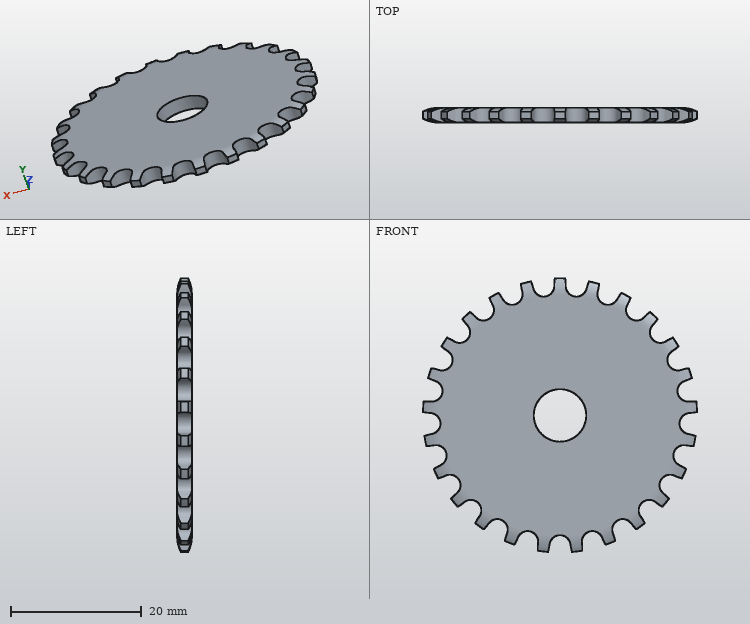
import math

import cadquery as cq

TOOTH_COUNT = 25
CHAIN_PITCH = 5.0
ROLLER_DIAMETER = 3.2
THICKNESS = 2.3
TIP_RADIUS = 21.0
BORE_DIAMETER = 8.0
BEVEL_START_RADIUS = 18.6
BEVEL_ARC_RADIUS = 5.0
FLANK_RADIUS = 8.0

TOOTH_STEP = 360.0 / TOOTH_COUNT
PITCH_RADIUS = CHAIN_PITCH / 2 / math.sin(math.pi / TOOTH_COUNT)
FLANK_START_TILT = math.pi / TOOTH_COUNT
SEAT_RADIUS = ROLLER_DIAMETER / 2
HALF_THICKNESS = THICKNESS / 2
CUT_CLEARANCE = 0.5


def bevel_half_thickness(radius):
    """Half thickness of the rounded tooth side at a distance from the axis."""
    run = radius - BEVEL_START_RADIUS
    return HALF_THICKNESS - BEVEL_ARC_RADIUS + math.sqrt(BEVEL_ARC_RADIUS**2 - run**2)


def make_blank():
    """Disc turned about Y, with both faces rounding down towards the rim."""
    middle_radius = (BEVEL_START_RADIUS + TIP_RADIUS) / 2
    middle_half = bevel_half_thickness(middle_radius)
    tip_half = bevel_half_thickness(TIP_RADIUS)
    return (
        cq.Workplane("YZ")
        .moveTo(-HALF_THICKNESS, 0)
        .lineTo(-HALF_THICKNESS, BEVEL_START_RADIUS)
        .threePointArc((-middle_half, middle_radius), (-tip_half, TIP_RADIUS))
        .lineTo(tip_half, TIP_RADIUS)
        .threePointArc((middle_half, middle_radius), (HALF_THICKNESS, BEVEL_START_RADIUS))
        .lineTo(HALF_THICKNESS, 0)
        .close()
        .revolve(360, (0, 0, 0), (1, 0, 0))
    )


def flank_point(height):
    """Point at a given height on the +X flank, an arc tangent to the seat where it starts."""
    centre_distance = SEAT_RADIUS + FLANK_RADIUS
    centre_x = centre_distance * math.cos(FLANK_START_TILT)
    centre_z = PITCH_RADIUS - centre_distance * math.sin(FLANK_START_TILT)
    return (centre_x - math.sqrt(FLANK_RADIUS**2 - (height - centre_z) ** 2), height)


def mirrored(point):
    """The same point on the -X side of the gap."""
    return (-point[0], point[1])


def extrude_through(sketch):
    """Extrude an XZ sketch on the cutting plane through the whole thickness."""
    return sketch.extrude(-(THICKNESS + 2 * CUT_CLEARANCE))


def cutting_plane():
    """XZ workplane just clear of the -Y face."""
    return cq.Workplane("XZ", origin=(0, -HALF_THICKNESS - CUT_CLEARANCE, 0))


def make_gap_cutter():
    """Tooth gap on the +Z axis: a roller seat opening into two convex flanks."""
    seat_bottom = (0, PITCH_RADIUS - SEAT_RADIUS)
    seat_end_z = PITCH_RADIUS - SEAT_RADIUS * math.sin(FLANK_START_TILT)
    mouth_z = TIP_RADIUS + CUT_CLEARANCE
    seat_end = flank_point(seat_end_z)
    flank_middle = flank_point((seat_end_z + mouth_z) / 2)
    mouth = flank_point(mouth_z)
    outline = (
        cutting_plane()
        .moveTo(*mirrored(mouth))
        .threePointArc(mirrored(flank_middle), mirrored(seat_end))
        .threePointArc(seat_bottom, seat_end)
        .threePointArc(flank_middle, mouth)
        .close()
    )
    return extrude_through(outline)


def cut_tooth_gaps(body):
    """Cut every gap, offset half a step so that one tooth is centred on +Z."""
    gap = make_gap_cutter()
    for index in range(TOOTH_COUNT):
        angle = (index + 0.5) * TOOTH_STEP
        body = body.cut(gap.rotate((0, 0, 0), (0, 1, 0), angle))
    return body


def cut_bore(body):
    """Cut the central through bore along Y."""
    bore = extrude_through(cutting_plane().circle(BORE_DIAMETER / 2))
    return body.cut(bore)


result = cut_bore(cut_tooth_gaps(make_blank()))